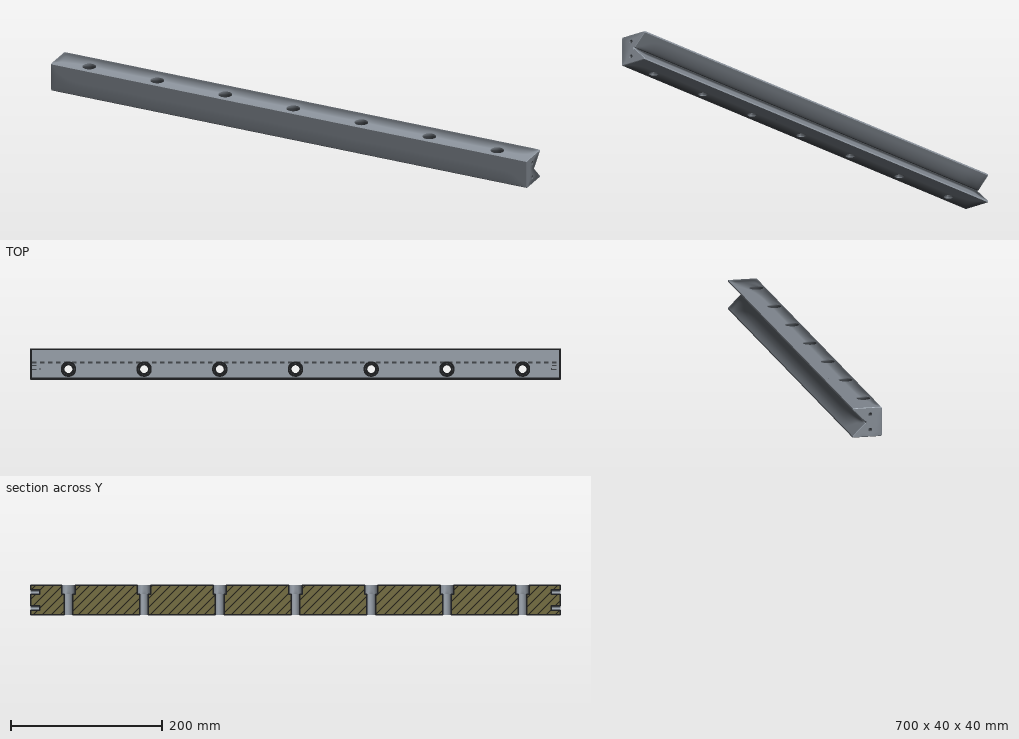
import cadquery as cq

length = 700.0
side = 40.0
half_side = side / 2
edge_chamfer = 1.5
end_chamfer = 1.0

lip_height = 2.0
relief_half_width = 1.05
relief_depth = 1.5
groove_mouth_half_width = half_side - lip_height
groove_depth = groove_mouth_half_width - relief_half_width

mount_count = 7
mount_pitch = length / mount_count
mount_from_front = 13.0
bore_diameter = 12.5
counterbore_diameter = 18.0
counterbore_depth = 12.0

end_hole_diameter = 5.25
end_hole_from_front = 16.0
end_hole_spacing = 21.0
end_hole_depth = 12.0


def v_bar():
    """Square bar with a V groove in +Y, chamfered -Y edges and chamfered ends."""
    groove_root_y = half_side - groove_depth
    relief_floor_y = groove_root_y - relief_depth
    outline = [
        (-half_side, -half_side + edge_chamfer),
        (-half_side + edge_chamfer, -half_side),
        (half_side, -half_side),
        (half_side, -groove_mouth_half_width),
        (groove_root_y, -relief_half_width),
        (relief_floor_y, -relief_half_width),
        (relief_floor_y, relief_half_width),
        (groove_root_y, relief_half_width),
        (half_side, groove_mouth_half_width),
        (half_side, half_side),
        (-half_side + edge_chamfer, half_side),
        (-half_side, half_side - edge_chamfer),
    ]
    bar = cq.Workplane("YZ").polyline(outline).close().extrude(length / 2, both=True)
    return bar.faces("<X or >X").chamfer(end_chamfer)


def drill_mounting_holes(bar):
    """Row of evenly spaced holes, counterbored from the top face."""
    first_x = -mount_pitch * (mount_count - 1) / 2
    centres = [(first_x + i * mount_pitch, mount_from_front - half_side) for i in range(mount_count)]
    top = cq.Workplane("XY", origin=(0, 0, half_side))
    bores = top.pushPoints(centres).circle(bore_diameter / 2).extrude(-side)
    counterbores = top.pushPoints(centres).circle(counterbore_diameter / 2).extrude(-counterbore_depth)
    return bar.cut(bores).cut(counterbores)


def drill_end_holes(bar):
    """Two blind holes, one above the other, in each end face."""
    y = end_hole_from_front - half_side
    centres = [(y, z) for z in (-end_hole_spacing / 2, end_hole_spacing / 2)]
    for end in (-1, 1):
        face = cq.Workplane("YZ", origin=(end * length / 2, 0, 0))
        holes = face.pushPoints(centres).circle(end_hole_diameter / 2).extrude(-end * end_hole_depth)
        bar = bar.cut(holes)
    return bar


result = drill_end_holes(drill_mounting_holes(v_bar()))